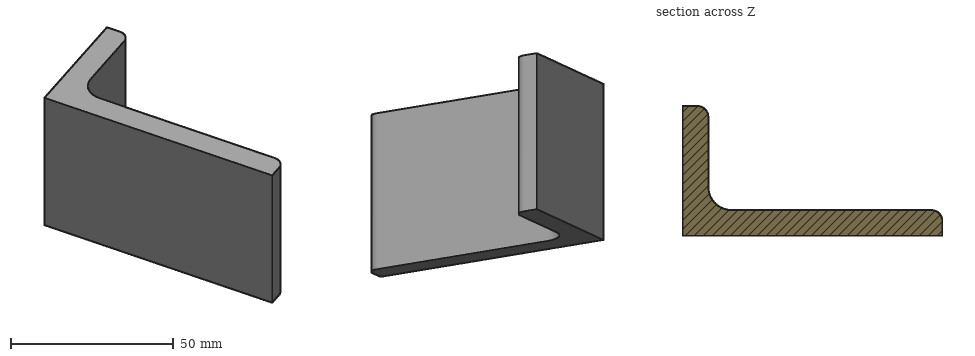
import cadquery as cq

long_leg = 80.0
short_leg = 40.0
length = 50.0
thickness = 8.0
root_radius = 7.0
toe_radius = root_radius / 2


def angle_section():
    """Sharp-cornered L outline with its heel at the origin."""
    return (
        cq.Workplane("XY")
        .lineTo(long_leg, 0)
        .lineTo(long_leg, thickness)
        .lineTo(thickness, thickness)
        .lineTo(thickness, short_leg)
        .lineTo(0, short_leg)
        .close()
    )


def round_edge(body, x, y, radius):
    """Round the lengthwise edge that passes through (x, y)."""
    edge = cq.selectors.NearestToPointSelector((x, y, length / 2))
    return body.edges("|Z").edges(edge).fillet(radius)


angle = angle_section().extrude(length)

angle = round_edge(angle, thickness, thickness, root_radius)

angle = round_edge(angle, long_leg, thickness, toe_radius)
angle = round_edge(angle, thickness, short_leg, toe_radius)

result = angle